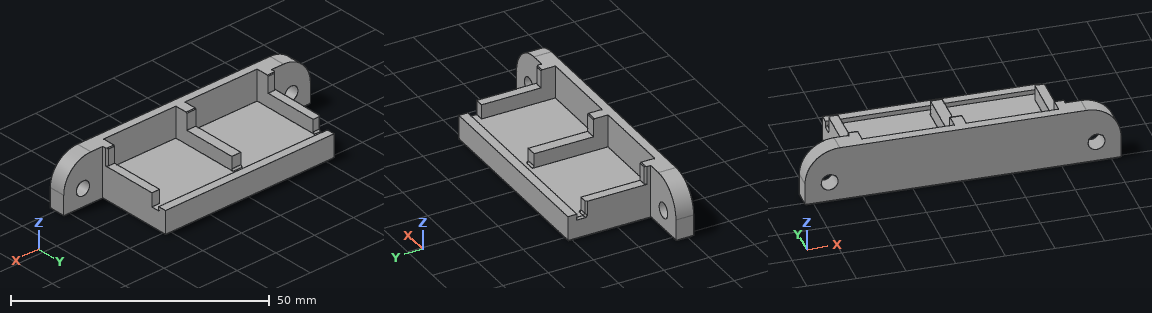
import cadquery as cq

plate_length = 63.7
plate_thickness = 3.95
plate_height = 12.0
corner_radius = 7.0
hole_diameter = 3.4
hole_inset = 5.0
hole_height = 4.5

tray_length = 43.6
tray_depth = 22.25
floor_height = 4.8
lip_height = 5.75
lip_thickness = 2.0
rib_height = 7.95
end_rib_width = 2.0
middle_rib_width = 2.35
rib_back_gap = 2.0
front_wall_thickness = 2.0
post_back = 5.15
bottom_chamfer = 0.4
mouth_bevel = 0.4
rib_foot_bevel = 0.4
post_top_chamfer = 0.2

lip_front = tray_depth - lip_thickness
rib_back = lip_front - rib_back_gap
tray_half = tray_length / 2


def box(x_min, x_max, y_min, y_max, z_min, z_max):
    """Axis-aligned box between the given limits."""
    size = (x_max - x_min, y_max - y_min, z_max - z_min)
    return cq.Workplane("XY").box(*size, centered=False).translate((x_min, y_min, z_min))


def make_plate():
    """Upright plate with rounded top corners."""
    plate = box(-plate_length / 2, plate_length / 2, 0, plate_thickness, 0, plate_height)
    return plate.edges("|Y and >Z").fillet(corner_radius)


def make_rib(x_min, x_max):
    """Rib across the tray, with a full-height post where it meets the plate."""
    rib = box(x_min, x_max, 0, rib_back, 0, rib_height)
    post = box(x_min, x_max, 0, post_back, 0, plate_height)
    post = post.edges(">Y and >Z").chamfer(post_top_chamfer)
    base = box(-tray_half, tray_half, 0, tray_depth, 0, floor_height)
    return rib.union(post).cut(base)


def make_rib_foot(x_min, x_max):
    """Sloped foot in the corner between the back of a rib and the floor."""
    foot = cq.Workplane("YZ", origin=(x_min, 0, 0)).polyline(
        [
            (rib_back, floor_height),
            (rib_back + rib_foot_bevel, floor_height),
            (rib_back, floor_height + rib_foot_bevel),
        ]
    )
    return foot.close().extrude(x_max - x_min)


def groove_outline(workplane, offset):
    """Groove section between lip and rib, grown by offset into the floor and the rib."""
    bottom = floor_height - offset
    front = rib_back - offset
    return workplane.polyline(
        [
            (lip_front, bottom),
            (front + rib_foot_bevel, bottom),
            (front, bottom + rib_foot_bevel),
            (front, rib_height),
            (lip_front, rib_height),
        ]
    ).close()


def make_groove_flare():
    """Cutter that widens the groove toward the left end of the tray."""
    outer = groove_outline(cq.Workplane("YZ", origin=(-tray_half, 0, 0)), mouth_bevel)
    return groove_outline(outer.workplane(offset=mouth_bevel), 0).loft(ruled=True)


def make_post_bevel(side):
    """Cutter for the outer back edge of an end post, on the left (-1) or right (+1)."""
    outer_x = side * tray_half
    bevel = cq.Workplane("XY", origin=(0, 0, rib_height)).polyline(
        [
            (outer_x, post_back),
            (outer_x - side * mouth_bevel, post_back),
            (outer_x, post_back - mouth_bevel),
        ]
    )
    return bevel.close().extrude(plate_height - rib_height)


body = make_plate().union(box(-tray_half, tray_half, 0, tray_depth, 0, floor_height))
body = body.faces("<Z").edges().chamfer(bottom_chamfer)

body = body.cut(
    box(-tray_half, tray_half, front_wall_thickness, plate_thickness, floor_height, plate_height)
)

body = body.union(box(-tray_half, tray_half, lip_front, tray_depth, floor_height, lip_height))

left_span = (-tray_half, -tray_half + end_rib_width)
middle_span = (-middle_rib_width / 2, middle_rib_width / 2)
right_span = (tray_half - end_rib_width, tray_half)
for span in (left_span, middle_span, right_span):
    body = body.union(make_rib(*span))
for span in (left_span, middle_span):
    body = body.union(make_rib_foot(*span))

body = body.cut(make_groove_flare())

for side in (-1, 1):
    body = body.cut(make_post_bevel(side))

hole_x = plate_length / 2 - hole_inset
for x in (-hole_x, hole_x):
    hole = cq.Workplane("XZ", origin=(x, 0, hole_height)).circle(hole_diameter / 2)
    body = body.cut(hole.extrude(-plate_thickness))

result = body